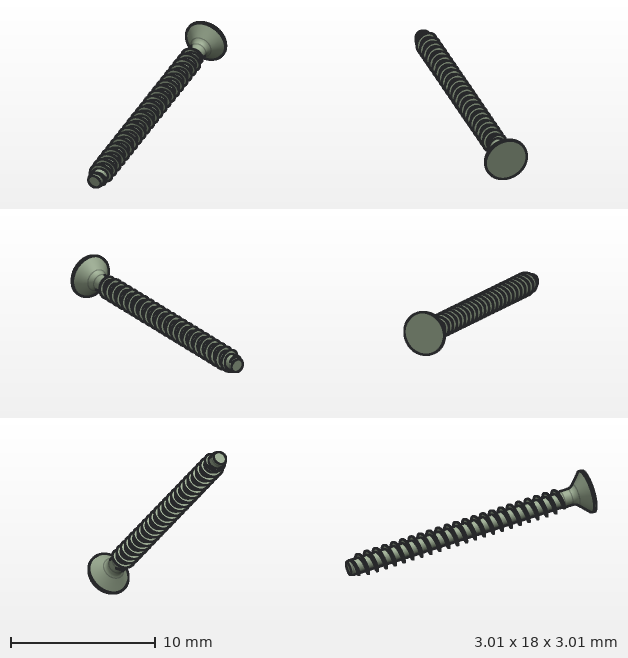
import cadquery as cq
import math

length = 18.0

head_radius = 1.503
head_rim = 0.18
neck_fillet = 0.63
head_half_angle = math.radians(45)

shank_radius = 0.585
shank_end = 1.93
core_radius = 0.531
core_start = 2.2
tip_radius = 0.477
tip_chamfer_length = 0.18

pitch = 0.671
crest_radius = 0.8
crest_width = 0.04
root_width = 0.22
root_overlap = 0.07
crest_up_station = 2.907
run_in_start = 1.65
run_in_end = 2.34
run_out_start = 17.05
run_out_end = 17.85
run_start_crest = 0.5


def make_body():
    """Head, filleted neck, smooth shank and thread core as one revolved outline."""
    fillet_rise = neck_fillet * (1 - math.cos(head_half_angle))
    fillet_run = neck_fillet * math.sin(head_half_angle)
    fillet_start_radius = shank_radius + fillet_rise
    cone_length = (head_radius - fillet_start_radius) / math.tan(head_half_angle)
    fillet_start = head_rim + cone_length
    fillet_end = fillet_start + fillet_run

    half_angle = head_half_angle / 2
    mid_radius = shank_radius + neck_fillet * (1 - math.cos(half_angle))
    mid_station = fillet_end - neck_fillet * math.sin(half_angle)

    return (
        cq.Workplane("XY")
        .moveTo(0, 0)
        .lineTo(head_radius, 0)
        .lineTo(head_radius, -head_rim)
        .lineTo(fillet_start_radius, -fillet_start)
        .threePointArc((mid_radius, -mid_station), (shank_radius, -fillet_end))
        .lineTo(shank_radius, -shank_end)
        .lineTo(core_radius, -core_start)
        .lineTo(core_radius, -(length - tip_chamfer_length))
        .lineTo(tip_radius, -length)
        .lineTo(0, -length)
        .close()
        .revolve(360, (0, 0, 0), (0, 1, 0))
    )


def helix_edge(start, end, start_radius, end_radius, axial_shift):
    """Right-hand helix along Z from one station to the other, with a steadily changing radius.

    The radius may only grow, so a shrinking helix is built backward, with end before start.
    """
    rise = abs(end - start)
    taper = math.atan2(end_radius - start_radius, rise)
    slant = 1 / math.cos(taper)
    if taper == 0:
        wire = cq.Wire.makeHelix(pitch, rise, start_radius)
    else:
        wire = cq.Wire.makeHelix(pitch * slant, rise * slant, start_radius, angle=math.degrees(taper))
    if end < start:
        wire = wire.rotate(cq.Vector(0, 0, 0), cq.Vector(1, 0, 0), 180)
    turn_angle = 360 * (start - crest_up_station) / pitch
    wire = wire.rotate(cq.Vector(0, 0, 0), cq.Vector(0, 0, 1), turn_angle)
    return wire.translate(cq.Vector(0, 0, start + axial_shift)).Edges()[0]


def make_thread_stretch(start, end, start_crest):
    """Trapezoidal ridge between two stations, its crest growing from start_crest to full height."""
    root_radius = core_radius - root_overlap
    profile = [
        (-root_width / 2, root_radius, root_radius),
        (-crest_width / 2, start_crest, crest_radius),
        (crest_width / 2, start_crest, crest_radius),
        (root_width / 2, root_radius, root_radius),
    ]
    corners = [
        helix_edge(start, end, start_radius, end_radius, axial_shift)
        for axial_shift, start_radius, end_radius in profile
    ]
    sides = [cq.Face.makeRuledSurface(corners[i - 1], corners[i]) for i in range(len(corners))]
    caps = [
        cq.Face.makeFromWires(cq.Wire.makePolygon([edge.positionAt(t) for edge in corners], close=True))
        for t in (0, 1)
    ]
    stretch = cq.Solid.makeSolid(cq.Shell.makeShell(sides + caps))
    return cq.Workplane(obj=stretch)


def make_thread():
    """Run-in, full-height and run-out stretches, turned from the Z axis onto the screw axis."""
    stretches = [
        make_thread_stretch(run_in_start, run_in_end, run_start_crest),
        make_thread_stretch(run_in_end, run_out_start, crest_radius),
        make_thread_stretch(run_out_end, run_out_start, run_start_crest),
    ]
    return [
        stretch.rotate((0, 0, 0), (0, 0, 1), 90).rotate((0, 0, 0), (1, 0, 0), 90)
        for stretch in stretches
    ]


result = make_body()
for thread_stretch in make_thread():
    result = result.union(thread_stretch)